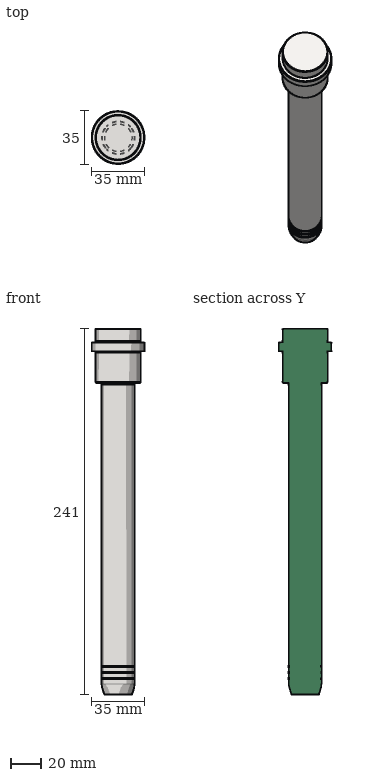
import cadquery as cq
import math

total_length = 241.0

head_diameter = 30.0
head_length = 36.0
head_top_chamfer = 0.5
head_end_chamfer_height = 1.0
head_end_chamfer_angle = 30.0
collar_diameter = 35.0
collar_height = 6.0
collar_setback = 9.0
collar_chamfer = 0.5

relief_width = 1.0
relief_depth = 0.2
relief_taper = 0.4

shaft_diameter = 22.0
nose_length = 7.0
nose_tip_diameter = 18.4
nose_tip_chamfer = 0.3
nose_bulge = 0.3
groove_count = 3
groove_land = 3.0
groove_width = 1.0
groove_depth = 0.5

head_radius = head_diameter / 2
collar_radius = collar_diameter / 2
shaft_radius = shaft_diameter / 2
nose_tip_radius = nose_tip_diameter / 2
head_bottom = total_length - head_length
collar_top = total_length - collar_setback
collar_bottom = collar_top - collar_height
groove_pitch = groove_land + groove_width
first_groove_height = nose_length + groove_land + groove_width / 2


def make_shaft():
    """Revolve the shaft, ending in a nose with a slightly convex flank."""
    flank_middle = ((shaft_radius + nose_tip_radius) / 2 + nose_bulge, (nose_length + nose_tip_chamfer) / 2)
    return (
        cq.Workplane("XZ")
        .lineTo(nose_tip_radius - nose_tip_chamfer, 0)
        .lineTo(nose_tip_radius, nose_tip_chamfer)
        .threePointArc(flank_middle, (shaft_radius, nose_length))
        .lineTo(shaft_radius, head_bottom)
        .lineTo(0, head_bottom)
        .close()
        .revolve(360, (0, 0, 0), (0, 1, 0))
    )


def make_head():
    """Build the head cylinder with both ends chamfered."""
    chamfer_inset = head_end_chamfer_height * math.tan(math.radians(head_end_chamfer_angle))
    return (
        cq.Workplane("XY", origin=(0, 0, head_bottom))
        .circle(head_radius)
        .extrude(head_length)
        .faces("<Z")
        .edges()
        .chamfer(head_end_chamfer_height, chamfer_inset)
        .faces(">Z")
        .edges()
        .chamfer(head_top_chamfer)
    )


def make_collar():
    """Build the collar with a chamfered upper rim."""
    return (
        cq.Workplane("XY", origin=(0, 0, collar_bottom))
        .circle(collar_radius)
        .extrude(collar_height)
        .faces(">Z")
        .edges()
        .chamfer(collar_chamfer)
    )


def make_groove(center_height):
    """Return the ring that cuts a V groove into the shaft."""
    return (
        cq.Workplane("XZ")
        .moveTo(shaft_radius, center_height - groove_width / 2)
        .lineTo(shaft_radius - groove_depth, center_height)
        .lineTo(shaft_radius, center_height + groove_width / 2)
        .close()
        .revolve(360, (0, 0, 0), (0, 1, 0))
    )


def make_relief(radius, face_height, direction):
    """Return the ring that cuts a relief beside a face, tapering out along the cylinder."""
    floor_radius = radius - relief_depth
    taper_start = face_height + direction * (relief_width - relief_taper)
    taper_end = face_height + direction * relief_width
    return (
        cq.Workplane("XZ")
        .moveTo(radius, face_height)
        .lineTo(floor_radius, face_height)
        .lineTo(floor_radius, taper_start)
        .lineTo(radius, taper_end)
        .close()
        .revolve(360, (0, 0, 0), (0, 1, 0))
    )


result = make_shaft().union(make_head()).union(make_collar())

result = result.cut(make_relief(head_radius, collar_top, 1))
result = result.cut(make_relief(head_radius, collar_bottom, -1))
result = result.cut(make_relief(shaft_radius, head_bottom, -1))

for index in range(groove_count):
    result = result.cut(make_groove(first_groove_height + index * groove_pitch))